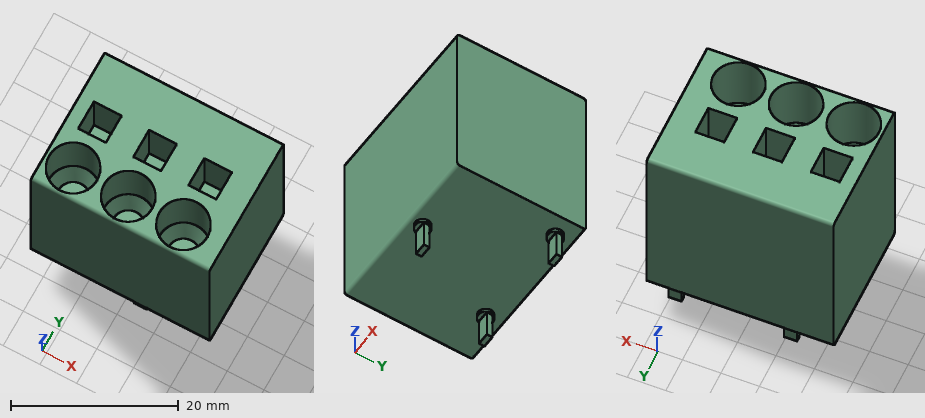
import cadquery as cq
import math

pole_count = 3
pole_pitch = 7.5
end_wall = 1.8
housing_length = pole_count * pole_pitch + end_wall
housing_depth = 18.5
housing_height = 24.15
edge_radius = 0.5

first_pole_x = pole_pitch / 2
entry_diameter = 6.5
entry_floor_diameter = 4.0
entry_y = 3.7
entry_bore_depth = 8.0
entry_cone_slope = math.radians(60)
entry_cone_depth = (entry_diameter - entry_floor_diameter) / 2 * math.tan(entry_cone_slope)

release_width = 3.75
release_length = 3.9
release_y = 10.35
release_depth = 8.0

overall_height = 28.75
pin_length = overall_height - housing_height
pin_offset_x = 2.8
pin_front_y = 1.9
pin_row_spacing = 14.0
collar_diameter = 2.1
collar_height = 0.5
blade_width = 1.7
blade_thickness = 0.8

pole_positions = [first_pole_x + pole * pole_pitch for pole in range(pole_count)]


def make_wire_entry(x):
    """Cutter for one round wire entry, sunk from the top face."""
    bore = (
        cq.Workplane("XY", origin=(x, entry_y, housing_height))
        .circle(entry_diameter / 2)
        .extrude(-entry_bore_depth)
    )
    cone = cq.Solid.makeCone(
        entry_diameter / 2,
        entry_floor_diameter / 2,
        entry_cone_depth,
        pnt=cq.Vector(x, entry_y, housing_height - entry_bore_depth),
        dir=cq.Vector(0, 0, -1),
    )
    return bore.union(cq.Workplane(cone))


def make_release_opening(x):
    """Cutter for one rectangular release opening, sunk from the top face."""
    return (
        cq.Workplane("XY", origin=(x, release_y, housing_height))
        .rect(release_width, release_length)
        .extrude(-release_depth)
    )


def make_housing():
    """Block with its four lengthwise edges rounded and both rows of openings cut."""
    housing = (
        cq.Workplane("XY")
        .box(housing_length, housing_depth, housing_height, centered=False)
        .edges("|X")
        .fillet(edge_radius)
    )
    for x in pole_positions:
        housing = housing.cut(make_wire_entry(x))
        housing = housing.cut(make_release_opening(x))
    return housing


def make_pin(x, y):
    """One solder pin hanging from the bottom face of the housing."""
    collar = cq.Workplane("XY", origin=(x, y, 0)).circle(collar_diameter / 2).extrude(-collar_height)
    blade = cq.Workplane("XY", origin=(x, y, 0)).rect(blade_width, blade_thickness).extrude(-pin_length)
    return collar.union(blade)


housing = make_housing()

pins = []
for pole, pole_x in enumerate(pole_positions):
    in_back_row = pole % 2 == 0
    pin_y = pin_front_y + (pin_row_spacing if in_back_row else 0)
    pins.append(make_pin(pole_x + pin_offset_x, pin_y))

result = cq.Compound.makeCompound([housing.val(), *[pin.val() for pin in pins]])